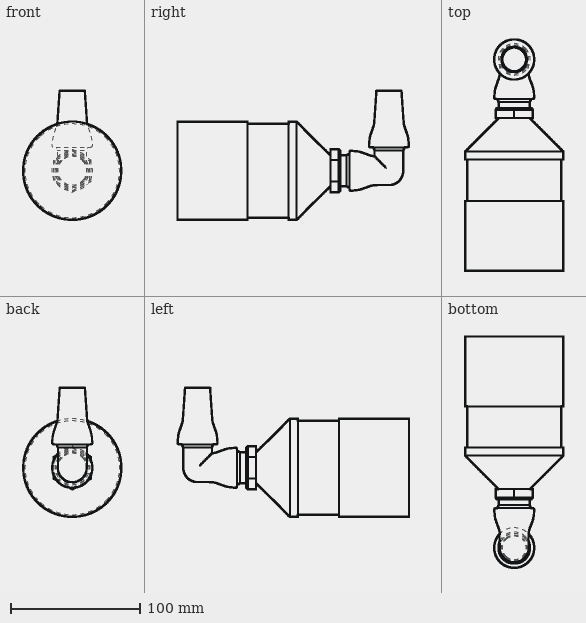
import cadquery as cq

body_radius = 76.1 / 2
waist_radius = 72.9 / 2
sleeve_length = 54.3
band_start = 86.0
band_end = 92.2

neck_radius = 24.2 / 2
cone_end = band_end + body_radius - neck_radius
nut_end = 126.1
nut_flats = 28.8
nut_chamfer_length = 1.6
nut_chamfer_depth = 1.0

overall_length = 179.1
overall_height = 100.3
socket_radius = 15.5
lip_rounding = 1.5
flare_length = 2.3
flare_step = 1.0
elbow_radius = 22.4 / 2
elbow_y = overall_length - socket_radius
dome_radius = 28.7

socket_start = 132.9
socket_dome_length = 12.2

nozzle_top = overall_height - body_radius
nozzle_tip_radius = 9.9
nozzle_tip_chamfer = 0.7
nozzle_base_radius = 23.3 / 2
nozzle_base = 35.8
collar_start = 18.1
collar_dome_length = 8.6


def dome_drop(distance):
    """Radius lost along a dome that starts parallel to its axis."""
    return dome_radius - (dome_radius**2 - distance**2) ** 0.5


def make_canister():
    profile = (
        cq.Workplane("XY")
        .lineTo(body_radius, 0)
        .lineTo(body_radius, sleeve_length)
        .lineTo(waist_radius, sleeve_length)
        .lineTo(waist_radius, band_start)
        .lineTo(body_radius, band_start)
        .lineTo(body_radius, band_end)
        .lineTo(neck_radius, cone_end)
        .lineTo(0, cone_end)
        .close()
    )
    return profile.revolve(360, (0, 0), (0, 1))


def make_nut():
    """Hexagon with corners at +Z and -Z and bevelled flats at its rear end."""
    corner_diameter = nut_flats / (3**0.5 / 2)
    nut = (
        cq.Workplane("XZ", origin=(0, cone_end, 0))
        .transformed(rotate=(0, 0, 90))
        .polygon(6, corner_diameter)
        .extrude(cone_end - nut_end)
    )
    return nut.faces(">Y").chamfer(nut_chamfer_length, nut_chamfer_depth)


def make_horizontal_socket():
    """Neck and domed socket, blending into the elbow along a concave arc."""
    lip_end = socket_start + lip_rounding
    dome_end = lip_end + socket_dome_length
    dome_end_radius = socket_radius - dome_drop(socket_dome_length)
    dome_sine = socket_dome_length / dome_radius
    dome_cosine = (1 - dome_sine**2) ** 0.5
    blend_radius = (dome_end_radius - elbow_radius) / (1 - dome_cosine)
    blend_end = dome_end + blend_radius * dome_sine
    profile = (
        cq.Workplane("XY")
        .moveTo(0, cone_end)
        .lineTo(neck_radius, cone_end)
        .lineTo(neck_radius, socket_start - flare_length)
        .lineTo(neck_radius + flare_step, socket_start)
        .lineTo(socket_radius - lip_rounding, socket_start)
        .radiusArc((socket_radius, lip_end), -lip_rounding)
        .radiusArc((dome_end_radius, dome_end), -dome_radius)
        .radiusArc((elbow_radius, blend_end), blend_radius)
        .lineTo(elbow_radius, elbow_y)
        .lineTo(0, elbow_y)
        .close()
    )
    return profile.revolve(360, (0, 0), (0, 1))


def make_vertical_socket():
    """Upright pipe, domed collar and tapered nozzle."""
    lip_end = collar_start + lip_rounding
    dome_end = lip_end + collar_dome_length
    profile = (
        cq.Workplane("XZ")
        .lineTo(elbow_radius, 0)
        .lineTo(elbow_radius, collar_start - flare_length)
        .lineTo(elbow_radius + flare_step, collar_start)
        .lineTo(socket_radius - lip_rounding, collar_start)
        .radiusArc((socket_radius, lip_end), -lip_rounding)
        .radiusArc((socket_radius - dome_drop(collar_dome_length), dome_end), -dome_radius)
        .lineTo(nozzle_base_radius, nozzle_base)
        .lineTo(nozzle_tip_radius, nozzle_top - nozzle_tip_chamfer)
        .lineTo(nozzle_tip_radius - nozzle_tip_chamfer, nozzle_top)
        .lineTo(0, nozzle_top)
        .close()
    )
    return profile.revolve(360, (0, 0), (0, 1)).translate((0, elbow_y, 0))


def make_elbow_corner():
    return cq.Workplane("XY").sphere(elbow_radius).translate((0, elbow_y, 0))


result = (
    make_canister()
    .union(make_horizontal_socket())
    .union(make_nut())
    .union(make_vertical_socket())
    .union(make_elbow_corner())
)